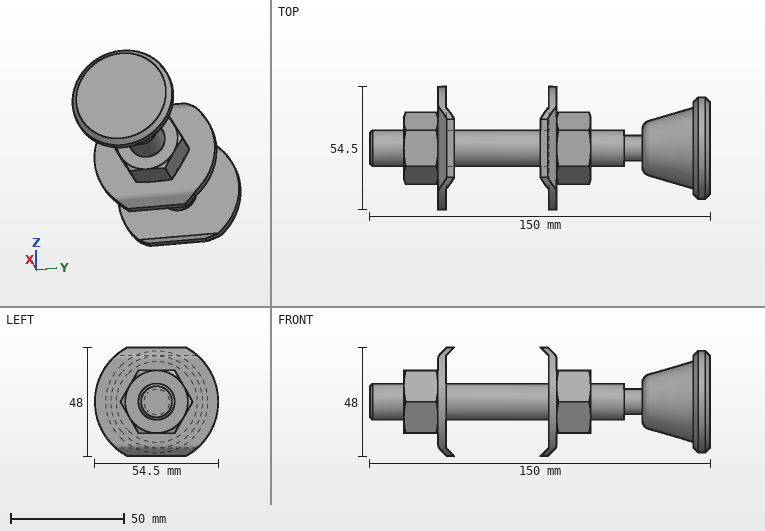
import cadquery as cq
import math

total_length = 150.0
rod_diameter = 16.0
rod_length = 112.0
rod_end_chamfer = 1.2

nut_width = 27.6
nut_length = 15.0
nut_chamfer_depth = 0.8
nut_start = 15.0

washer_diameter = 54.5
washer_height = 48.0
washer_thickness = 3.6
fold_angle = math.radians(45)
fold_start = 18.8
fold_radius = 3.2
inner_fold = 20.4
washer_span = 52.4

neck_diameter = 11.2
foot_start = 120.0
foot_top_diameter = 22.5
foot_base_diameter = 35.7
foot_rounding = 4.2
flange_thickness = 7.5
flange_diameter = 45.0
flange_chamfer = 2.2

first_washer = nut_start + nut_length
second_washer = first_washer + washer_span
flange_start = total_length - flange_thickness


def cylinder(start, length, diameter):
    return cq.Workplane("YZ", origin=(start, 0, 0)).circle(diameter / 2).extrude(length)


def make_nut(start):
    """Hexagon with its corners along Y, both ends turned down to a cone."""
    end = start + nut_length
    flat_radius = nut_width / 2
    corner_radius = flat_radius / math.cos(math.radians(30))
    hexagon = (
        cq.Workplane("YZ", origin=(start, 0, 0))
        .polygon(6, 2 * corner_radius)
        .extrude(nut_length)
    )
    turned_blank = (
        cq.Workplane("XY")
        .moveTo(start, 0)
        .lineTo(start, flat_radius)
        .lineTo(start + nut_chamfer_depth, corner_radius)
        .lineTo(end - nut_chamfer_depth, corner_radius)
        .lineTo(end, flat_radius)
        .lineTo(end, 0)
        .close()
        .revolve(360, (0, 0, 0), (1, 0, 0))
    )
    return hexagon.intersect(turned_blank)


def make_washer(nut_face, direction):
    """Washer whose folded edges lean along X in the given direction (1 or -1)."""
    half_height = washer_height / 2

    def fold_point(angle):
        return (
            fold_radius * (1 - math.cos(angle)),
            fold_start + fold_radius * math.sin(angle),
        )

    arc_middle = fold_point(fold_angle / 2)
    arc_end = fold_point(fold_angle)
    outer_tip = arc_end[0] + (half_height - arc_end[1]) * math.tan(fold_angle)
    inner_tip = washer_thickness + (half_height - inner_fold) * math.tan(fold_angle)

    def place(x, z):
        return (nut_face + direction * x, z)

    upper_half = (
        cq.Workplane("XZ")
        .moveTo(*place(0, 0))
        .lineTo(*place(0, fold_start))
        .threePointArc(place(*arc_middle), place(*arc_end))
        .lineTo(*place(outer_tip, half_height))
        .lineTo(*place(inner_tip, half_height))
        .lineTo(*place(washer_thickness, inner_fold))
        .lineTo(*place(washer_thickness, 0))
        .close()
        .extrude(washer_diameter / 2, both=True)
    )
    folded_plate = upper_half.union(upper_half.mirror("XY"))
    round_outline = cylinder(0, total_length, washer_diameter)
    return folded_plate.intersect(round_outline)


def make_foot():
    """Cone with a rounded small end, standing on a round flange."""
    cone = (
        cq.Workplane("XY")
        .moveTo(foot_start, 0)
        .lineTo(foot_start, foot_top_diameter / 2)
        .lineTo(flange_start, foot_base_diameter / 2)
        .lineTo(flange_start, 0)
        .close()
        .revolve(360, (0, 0, 0), (1, 0, 0))
        .faces("<X")
        .edges()
        .fillet(foot_rounding)
    )
    flange = (
        cylinder(flange_start, flange_thickness, flange_diameter)
        .faces("<X or >X")
        .edges()
        .chamfer(flange_chamfer)
    )
    return cone.union(flange)


rod = cylinder(0, rod_length, rod_diameter).faces("<X").chamfer(rod_end_chamfer)
neck = cylinder(rod_length, foot_start - rod_length, neck_diameter)

result = (
    rod.union(neck)
    .union(make_foot())
    .union(make_nut(nut_start))
    .union(make_washer(first_washer, 1))
    .union(make_washer(second_washer, -1))
    .union(make_nut(second_washer))
)